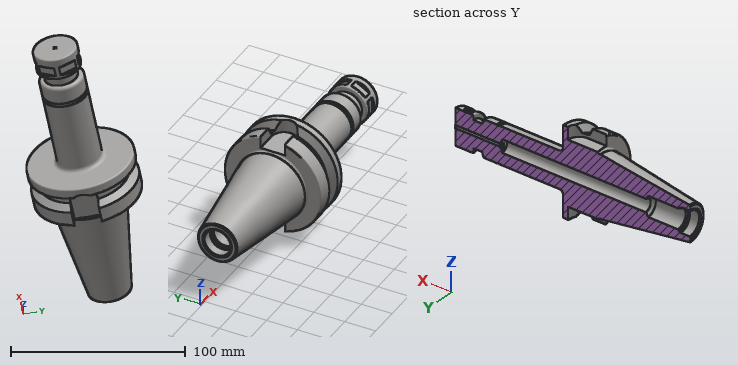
import cadquery as cq
import math

total_length = 170.4

taper_length = 65.1
taper_slope = 7 / 48
taper_large_radius = 22.2
taper_small_radius = taper_large_radius - taper_length * taper_slope
taper_tip_chamfer = 0.7
neck_radius = 22.0
neck_fillet = 1.4

flange_start = 67.3
flange_end = 92.5
flange_radius = 31.5
flange_edge_fillet = 1.0
groove_radius = 26.4
groove_center = 82.0
groove_floor_width = 4.1
groove_flank_angle = 30
groove_flank_width = (flange_radius - groove_radius) * math.tan(math.radians(groove_flank_angle))

slot_width = 16.0
slot_end = 88.6
slot_floor = 22.8
slot_cutter_clearance = 1.7

body_diameter = 26.4
body_radius = body_diameter / 2
body_root_fillet = 2.5
body_end = 150.6
body_end_fillet = 2.0
band_start = 138.2
band_width = 2.0
band_depth = 0.25
collar_radius = 9.7

nut_start = 157.1
nut_diameter = 26.0
nut_radius = nut_diameter / 2
nut_edge_fillet = 1.0
flat_count = 6
flat_start = 159.8
flat_end = 165.0
flat_distance = 12.0
flat_wall_flare = 0.5

mouth_radius = 9.5
mouth_chamfer = 0.5
counterbore_radius = 8.5
counterbore_depth = 7.2
thread_relief_length = 1.0
thread_relief_radius = 7.8
thread_radius = 7.0
thread_depth = 30.7
drill_tip_angle = 118
channel_mouth_radius = 5.0
channel_radius = 4.5
channel_end = 136.3
jet_mouth_diameter = 3.5
jet_recess_diameter = 3.0
jet_recess_depth = 1.5
jet_diameter = 1.7


def revolve_about_x(profile):
    """Turn a closed (X, radius) profile about the X axis."""
    return profile.close().revolve(360, (0, 0, 0), (1, 0, 0))


def fillet_offset(radius):
    """Distance from a square corner's tangent lines to the middle of its fillet arc."""
    return radius * (1 - math.sqrt(0.5))


def round_outer_start(profile, x, outer_radius, fillet):
    """Rise along a face at x and round over onto a cylinder running to +X."""
    inset = fillet_offset(fillet)
    return profile.lineTo(x, outer_radius - fillet).threePointArc(
        (x + inset, outer_radius - inset), (x + fillet, outer_radius)
    )


def round_outer_end(profile, x, outer_radius, fillet):
    """Run along a cylinder and round over onto a face at x."""
    inset = fillet_offset(fillet)
    return profile.lineTo(x - fillet, outer_radius).threePointArc(
        (x - inset, outer_radius - inset), (x, outer_radius - fillet)
    )


def make_outside():
    half_floor = groove_floor_width / 2
    half_mouth = half_floor + groove_flank_width
    neck_inset = fillet_offset(neck_fillet)
    root_inset = fillet_offset(body_root_fillet)
    band_end = band_start + band_width

    profile = (
        cq.Workplane("XY")
        .moveTo(0, 0)
        .lineTo(0, taper_small_radius - taper_tip_chamfer)
        .lineTo(taper_tip_chamfer, taper_small_radius + taper_tip_chamfer * taper_slope)
        .lineTo(taper_length, taper_large_radius)
        .lineTo(taper_length, neck_radius)
        .lineTo(flange_start - neck_fillet, neck_radius)
        .threePointArc(
            (flange_start - neck_inset, neck_radius + neck_inset),
            (flange_start, neck_radius + neck_fillet),
        )
    )
    profile = round_outer_start(profile, flange_start, flange_radius, flange_edge_fillet)
    profile = (
        profile.lineTo(groove_center - half_mouth, flange_radius)
        .lineTo(groove_center - half_floor, groove_radius)
        .lineTo(groove_center + half_floor, groove_radius)
        .lineTo(groove_center + half_mouth, flange_radius)
    )
    profile = round_outer_end(profile, flange_end, flange_radius, flange_edge_fillet)
    profile = (
        profile.lineTo(flange_end, body_radius + body_root_fillet)
        .threePointArc(
            (flange_end + root_inset, body_radius + root_inset),
            (flange_end + body_root_fillet, body_radius),
        )
        .lineTo(band_start, body_radius)
        .lineTo(band_start, body_radius - band_depth)
        .lineTo(band_end, body_radius - band_depth)
        .lineTo(band_end, body_radius)
    )
    profile = round_outer_end(profile, body_end, body_radius, body_end_fillet)
    profile = profile.lineTo(body_end, collar_radius).lineTo(nut_start, collar_radius)
    profile = round_outer_start(profile, nut_start, nut_radius, nut_edge_fillet)
    profile = round_outer_end(profile, total_length, nut_radius, nut_edge_fillet)
    return revolve_about_x(profile.lineTo(total_length, 0))


def make_drive_slot():
    """Round-ended cutter for the slot on the +Z side."""
    end_center = slot_end - slot_width / 2
    height = flange_radius - slot_floor + slot_cutter_clearance
    straight = cq.Workplane("XY", origin=(taper_length, 0, slot_floor)).box(
        end_center - taper_length, slot_width, height, centered=(False, True, False)
    )
    round_end = cq.Workplane("XY", origin=(end_center, 0, slot_floor)).circle(slot_width / 2).extrude(height)
    return straight.union(round_end)


def make_wrench_flat():
    """Cutter for the flat on the +Y side, with end walls flaring outward."""
    depth = nut_radius - flat_distance
    outer = flat_distance + 2 * depth
    spread = 2 * flat_wall_flare
    return (
        cq.Workplane("XY")
        .moveTo(flat_start, flat_distance)
        .lineTo(flat_end, flat_distance)
        .lineTo(flat_end + spread, outer)
        .lineTo(flat_start - spread, outer)
        .close()
        .extrude(nut_radius, both=True)
    )


def make_bore():
    thread_lead = thread_relief_radius - thread_radius
    relief_end = counterbore_depth + thread_relief_length
    drill_tip_length = (thread_radius - channel_mouth_radius) / math.tan(math.radians(drill_tip_angle / 2))
    channel_start = thread_depth + drill_tip_length
    channel_lead = channel_mouth_radius - channel_radius
    jet_lead = (jet_mouth_diameter - jet_recess_diameter) / 2
    recess_end = channel_end + jet_recess_depth
    profile = (
        cq.Workplane("XY")
        .moveTo(0, 0)
        .lineTo(0, mouth_radius)
        .lineTo(mouth_chamfer, counterbore_radius)
        .lineTo(counterbore_depth, counterbore_radius)
        .lineTo(counterbore_depth, thread_relief_radius)
        .lineTo(relief_end, thread_relief_radius)
        .lineTo(relief_end + thread_lead, thread_radius)
        .lineTo(thread_depth, thread_radius)
        .lineTo(channel_start, channel_mouth_radius)
        .lineTo(channel_start + channel_lead, channel_radius)
        .lineTo(channel_end, channel_radius)
        .lineTo(channel_end, jet_mouth_diameter / 2)
        .lineTo(channel_end + jet_lead, jet_recess_diameter / 2)
        .lineTo(recess_end, jet_recess_diameter / 2)
        .lineTo(recess_end, jet_diameter / 2)
        .lineTo(total_length, jet_diameter / 2)
        .lineTo(total_length, 0)
    )
    return revolve_about_x(profile)


result = make_outside()

for angle in (0, 180):
    result = result.cut(make_drive_slot().rotate((0, 0, 0), (1, 0, 0), angle))

for index in range(flat_count):
    angle = index * 360 / flat_count
    result = result.cut(make_wrench_flat().rotate((0, 0, 0), (1, 0, 0), angle))

result = result.cut(make_bore())